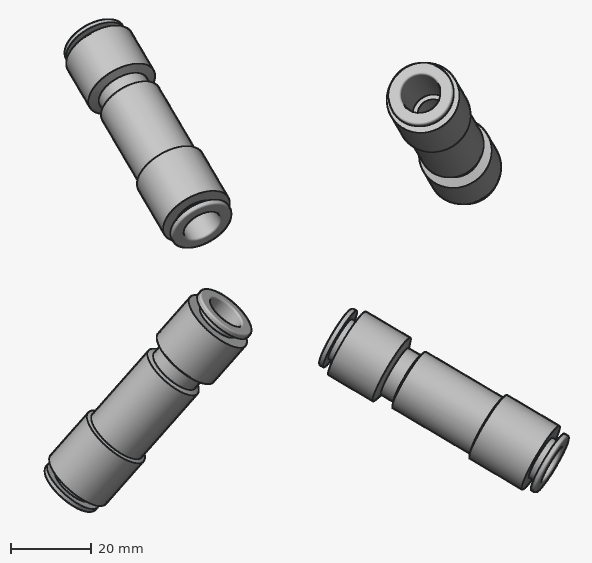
import cadquery as cq
import math

total_length = 63.6
left_collar_width = 1.4
right_collar_width = 1.4
neck_length = 2.05
left_body_length = 13.05
barrel_start = 21.6
right_body_start = 44.8
right_body_length = 15.35

body_diameter = 18.5
barrel_diameter = 16.4
collar_diameter = 16.5
neck_diameter = 11.6
groove_diameter = 13.6
socket_diameter = 10.0
bore_diameter = 7.5

shoulder_angle = 20.0

socket_depth = 16.0
socket_mouth_round = 0.5
collar_round = 0.5

left_body_start = left_collar_width + neck_length
left_body_end = left_body_start + left_body_length
right_body_end = right_body_start + right_body_length
right_collar_start = total_length - right_collar_width


def shoulder_length(large_diameter, small_diameter):
    """Axial length of a conical shoulder between two diameters."""
    step_height = (large_diameter - small_diameter) / 2
    return step_height * math.tan(math.radians(shoulder_angle))


def make_outer_solid():
    """Stepped outer shape, revolved about the X axis, with rounded end collars."""
    groove_start = left_body_end + shoulder_length(body_diameter, groove_diameter)
    groove_end = barrel_start - shoulder_length(barrel_diameter, groove_diameter)
    barrel_end = right_body_start - shoulder_length(body_diameter, barrel_diameter)
    steps = [
        (0, collar_diameter),
        (left_collar_width, collar_diameter),
        (left_collar_width, neck_diameter),
        (left_body_start, neck_diameter),
        (left_body_start, body_diameter),
        (left_body_end, body_diameter),
        (groove_start, groove_diameter),
        (groove_end, groove_diameter),
        (barrel_start, barrel_diameter),
        (barrel_end, barrel_diameter),
        (right_body_start, body_diameter),
        (right_body_end, body_diameter),
        (right_body_end, neck_diameter),
        (right_collar_start, neck_diameter),
        (right_collar_start, collar_diameter),
        (total_length, collar_diameter),
    ]
    profile = [(x, diameter / 2) for x, diameter in steps]
    outline = cq.Workplane("XY").polyline([(0, 0), *profile, (total_length, 0)]).close()
    solid = outline.revolve(360, (0, 0, 0), (1, 0, 0))
    return solid.faces("<X or >X").edges().fillet(collar_round)


def cut_socket(solid, end_face):
    """Blind tube socket with a rounded mouth in one end face."""
    socket_circle = solid.faces(end_face).workplane(origin=(0, 0, 0)).circle(socket_diameter / 2)
    solid = socket_circle.cutBlind(-socket_depth)
    mouth_edge = cq.selectors.RadiusNthSelector(0)
    return solid.faces(end_face).edges(mouth_edge).fillet(socket_mouth_round)


def cut_through_bore(solid):
    """Bore joining the two sockets."""
    bore = cq.Workplane("YZ").circle(bore_diameter / 2).extrude(total_length)
    return solid.cut(bore)


fitting = make_outer_solid()
for end_face in ("<X", ">X"):
    fitting = cut_socket(fitting, end_face)
fitting = cut_through_bore(fitting)

result = fitting.translate((-total_length / 2, 0, 0))